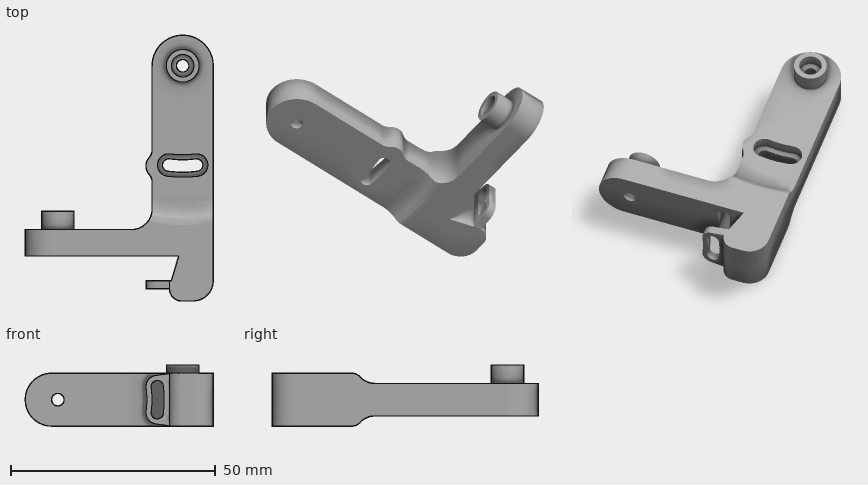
import cadquery as cq
import math


long_arm_width = 15.0
long_arm_thickness = 8.0
half_width = long_arm_width / 2
arm_top_z = long_arm_thickness / 2

block_height = 13.0
half_height = block_height / 2
short_arm_thickness = 6.5
short_arm_back_y = -40.0
short_arm_front_y = short_arm_back_y - short_arm_thickness
short_arm_end_x = -38.5
short_arm_round_x = short_arm_end_x + half_height
corner_radius = 5.0

foot_bottom_y = -57.5
foot_inner_x = -1.0
foot_inner_radius = 3.0
foot_outer_radius = 5.0
foot_arc_x = -0.25
foot_arc_y = foot_bottom_y + foot_inner_radius

side_pivot_x = -30.5
boss_diameter = 8.0
boss_height = 4.5
screw_diameter = 3.0
head_diameter = 5.5
head_depth = 3.0

slot_radius = 24.5
long_slot_half_angle = 8.0
side_slot_half_angle = 7.5
slot_recess_depth = head_depth

bump_radius = 3.0
bump_height = 1.5

ramp_end_radius = 39.0
ramp_foot_fillet = 5.0
ramp_top_fillet = 3.0

tab_thickness = 2.0
tab_front_y = foot_arc_y
tab_root_x = foot_arc_x - foot_inner_radius

overcut = 1.0


def polar(radius, degrees):
    """Point at a radius and an angle from the local x axis."""
    angle = math.radians(degrees)
    return (radius * math.cos(angle), radius * math.sin(angle))


def add(point, offset):
    """Point moved by an offset."""
    return (point[0] + offset[0], point[1] + offset[1])


def arc_slot(plane, width, half_angle, depth):
    """Slot of round ends, curved about the plane origin and centred on its x axis."""
    inner = slot_radius - width / 2
    outer = slot_radius + width / 2
    end_bulge = polar(width / 2, half_angle + 90)
    upper_tip = add(polar(slot_radius, half_angle), end_bulge)
    lower_tip = (upper_tip[0], -upper_tip[1])
    return (
        cq.Workplane(plane)
        .moveTo(*polar(inner, -half_angle))
        .threePointArc((inner, 0), polar(inner, half_angle))
        .threePointArc(upper_tip, polar(outer, half_angle))
        .threePointArc((outer, 0), polar(outer, -half_angle))
        .threePointArc(lower_tip, polar(inner, -half_angle))
        .close()
        .extrude(depth)
    )


def side_plane(y):
    """Plane at a given Y facing -Y, centred on the side pivot, with local x along +X."""
    return cq.Plane(origin=(side_pivot_x, y, 0), xDir=(1, 0, 0), normal=(0, -1, 0))


def upright_plane(z):
    """Plane at a given Z facing +Z, centred on the upright pivot, with local x along -Y."""
    return cq.Plane(origin=(0, 0, z), xDir=(0, -1, 0), normal=(0, 0, 1))


def make_body():
    """Full-height plan of both arms and the foot."""
    dx = foot_arc_x - foot_inner_x
    dy = foot_arc_y - short_arm_front_y
    lean = math.asin(foot_inner_radius / math.hypot(dx, dy)) - math.atan2(dx, -dy)
    foot_tangent = (
        foot_arc_x - foot_inner_radius * math.cos(lean),
        foot_arc_y + foot_inner_radius * math.sin(lean),
    )
    tangent_angle = 180 - math.degrees(lean)
    bottom_angle = 270
    foot_arc_middle_angle = (tangent_angle + bottom_angle) / 2
    foot_arc_middle = add(
        (foot_arc_x, foot_arc_y), polar(foot_inner_radius, foot_arc_middle_angle)
    )
    foot_outer_centre = (half_width - foot_outer_radius, foot_bottom_y + foot_outer_radius)
    corner_centre = (-half_width - corner_radius, short_arm_back_y + corner_radius)

    plan = (
        cq.Workplane("XY")
        .workplane(offset=-half_height)
        .moveTo(half_width, 0)
        .threePointArc((0, half_width), (-half_width, 0))
        .lineTo(-half_width, corner_centre[1])
        .threePointArc(
            add(corner_centre, polar(corner_radius, -45)),
            (corner_centre[0], short_arm_back_y),
        )
        .lineTo(short_arm_round_x, short_arm_back_y)
        .lineTo(short_arm_round_x, short_arm_front_y)
        .lineTo(foot_inner_x, short_arm_front_y)
        .lineTo(*foot_tangent)
        .threePointArc(foot_arc_middle, (foot_arc_x, foot_bottom_y))
        .lineTo(foot_outer_centre[0], foot_bottom_y)
        .threePointArc(
            add(foot_outer_centre, polar(foot_outer_radius, -45)),
            (half_width, foot_outer_centre[1]),
        )
        .close()
        .extrude(block_height)
    )
    round_end = (
        cq.Workplane("XZ", origin=(short_arm_round_x, short_arm_back_y, 0))
        .circle(half_height)
        .extrude(short_arm_thickness)
    )
    return plan.union(round_end)


def make_bump():
    """Rounded bump, blended into the arm edge by arcs of its own radius."""
    apex_x = -half_width - bump_height
    inside_x = apex_x + bump_radius
    blend_dx = 2 * bump_radius - bump_height
    blend_dy = math.sqrt((2 * bump_radius) ** 2 - blend_dx**2)
    blend_angle = math.degrees(math.atan2(blend_dy, blend_dx))
    blend_x = -half_width - bump_radius

    def profile_points(side):
        """Root, middle and crest end of the blend on the +Y (1) or -Y (-1) side."""
        centre = (blend_x, -slot_radius + side * blend_dy)
        root = (-half_width, centre[1])
        middle = add(centre, polar(bump_radius, -side * blend_angle / 2))
        crest = add(centre, polar(bump_radius, -side * blend_angle))
        return root, middle, crest

    upper_root, upper_middle, upper_crest = profile_points(1)
    lower_root, lower_middle, lower_crest = profile_points(-1)
    return (
        cq.Workplane("XY")
        .workplane(offset=-arm_top_z)
        .moveTo(*upper_root)
        .threePointArc(upper_middle, upper_crest)
        .threePointArc((apex_x, -slot_radius), lower_crest)
        .threePointArc(lower_middle, lower_root)
        .lineTo(inside_x, lower_root[1])
        .lineTo(inside_x, upper_root[1])
        .close()
        .extrude(long_arm_thickness)
    )


def make_ramp_cut():
    """Disc removed above the long arm, its rim an S-shaped ramp up to the block."""
    rise = half_height - arm_top_z
    ramp_angle = math.degrees(math.acos(1 - rise / (ramp_foot_fillet + ramp_top_fillet)))
    ramp_run = (ramp_foot_fillet + ramp_top_fillet) * math.sin(math.radians(ramp_angle))
    ramp_start_radius = ramp_end_radius - ramp_run
    foot_centre = (ramp_start_radius, arm_top_z + ramp_foot_fillet)
    joint = add(foot_centre, polar(ramp_foot_fillet, ramp_angle - 90))
    top_centre = add(joint, polar(ramp_top_fillet, ramp_angle - 90))
    ramp_end = (ramp_end_radius, half_height)
    return (
        cq.Workplane("XZ")
        .moveTo(0, arm_top_z)
        .lineTo(ramp_start_radius, arm_top_z)
        .threePointArc(add(foot_centre, polar(ramp_foot_fillet, ramp_angle / 2 - 90)), joint)
        .threePointArc(add(top_centre, polar(ramp_top_fillet, ramp_angle / 2 + 90)), ramp_end)
        .lineTo(ramp_end[0], half_height + overcut)
        .lineTo(0, half_height + overcut)
        .close()
        .revolve(360, (0, 0, 0), (0, 1, 0))
    )


def make_tab():
    """Tab around the side slot, widening radially up to a full-height root in the foot."""
    edge_radius = slot_radius - head_diameter / 2
    half_angle = side_slot_half_angle
    cap_middle = add(polar(slot_radius, half_angle), polar(head_diameter / 2, half_angle + 135))
    cap_end = add(polar(slot_radius, half_angle), polar(head_diameter / 2, half_angle + 90))
    root_x = tab_root_x - side_pivot_x
    inner_end_x = root_x + foot_inner_radius
    root_z = cap_end[1] + (root_x - cap_end[0]) * math.tan(math.radians(half_angle))
    return (
        cq.Workplane(side_plane(tab_front_y + tab_thickness))
        .moveTo(*polar(edge_radius, -half_angle))
        .threePointArc((edge_radius, 0), polar(edge_radius, half_angle))
        .threePointArc(cap_middle, cap_end)
        .lineTo(root_x, root_z)
        .lineTo(root_x, half_height)
        .lineTo(inner_end_x, half_height)
        .lineTo(inner_end_x, -half_height)
        .lineTo(root_x, -half_height)
        .lineTo(root_x, -root_z)
        .lineTo(cap_end[0], -cap_end[1])
        .threePointArc((cap_middle[0], -cap_middle[1]), polar(edge_radius, -half_angle))
        .close()
        .extrude(tab_thickness)
    )


def add_pivot(body, face_plane, arm_thickness):
    """Boss on an arm face, with a screw hole through and a counterbore from its top."""
    boss = cq.Workplane(face_plane).circle(boss_diameter / 2).extrude(boss_height)
    top = cq.Workplane(face_plane).workplane(offset=boss_height)
    hole = top.circle(screw_diameter / 2).extrude(-boss_height - arm_thickness)
    counterbore = top.circle(head_diameter / 2).extrude(-head_depth)
    return body.union(boss).cut(hole).cut(counterbore)


ramp_cut = make_ramp_cut()
body = make_body().cut(ramp_cut).cut(ramp_cut.mirror("XY"))
body = body.union(make_bump()).union(make_tab())

body = add_pivot(body, cq.Plane(origin=(0, 0, arm_top_z)), long_arm_thickness)
side_face = cq.Plane(
    origin=(side_pivot_x, short_arm_back_y, 0), xDir=(1, 0, 0), normal=(0, 1, 0)
)
body = add_pivot(body, side_face, short_arm_thickness)

recess_floor_z = arm_top_z - slot_recess_depth
long_slot = arc_slot(
    upright_plane(-arm_top_z), screw_diameter, long_slot_half_angle, long_arm_thickness
)
long_recess = arc_slot(
    upright_plane(recess_floor_z), head_diameter, long_slot_half_angle, slot_recess_depth
)
body = body.cut(long_slot).cut(long_recess)

side_slot_depth = short_arm_back_y - tab_front_y
side_slot = arc_slot(
    side_plane(short_arm_back_y), screw_diameter, side_slot_half_angle, side_slot_depth
)
body = body.cut(side_slot)

result = body